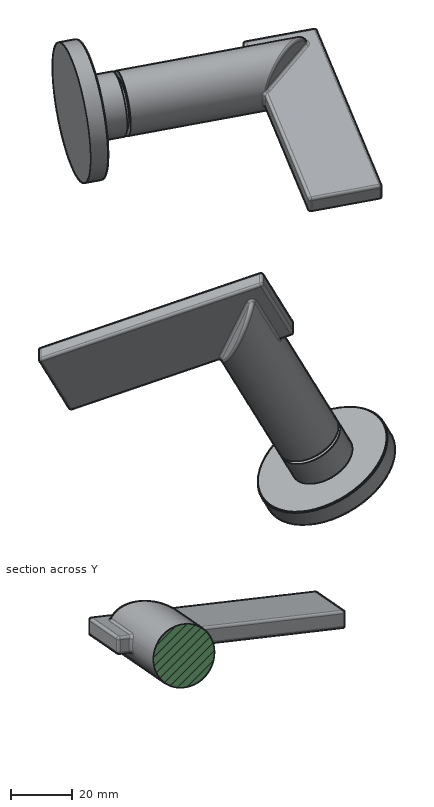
import cadquery as cq

overall_width = 88.5
overall_depth = 87.6

flange_diameter = 47.0
flange_thickness = 6.2
flange_edge_chamfer = 0.35
post_diameter = 21.9
collar_top = 15.9
neck_diameter = 17.35
neck_length = 1.2

blade_length = 80.9
blade_depth = 25.05
blade_thickness = 6.2

edge_radius = 1.0
blend_radius = 1.0

seam_margin = 0.04

post_radius = post_diameter / 2
post_bottom = collar_top + neck_length
blade_right = overall_width - flange_diameter / 2
blade_left = blade_right - blade_length
blade_front = overall_depth - blade_depth
miter_high = blade_front + post_diameter


def disc(diameter, start, end):
    """Cylinder about the Y axis from Y = start to Y = end."""
    return cq.Workplane("XZ", origin=(0, start, 0)).circle(diameter / 2).extrude(start - end)


def make_base():
    """Mounting flange, collar and the narrow neck under the post."""
    flange = disc(flange_diameter, 0, flange_thickness).edges(">Y").chamfer(flange_edge_chamfer)
    collar = disc(post_diameter, flange_thickness, collar_top)
    neck = disc(neck_diameter, collar_top, post_bottom)
    return flange.union(collar).union(neck)


def make_post():
    """Round post mitred at 45 degrees, lowest where it meets the blade front at +X."""
    outline = [
        (-post_radius, post_bottom),
        (post_radius, post_bottom),
        (post_radius, blade_front),
        (-post_radius, miter_high),
    ]
    miter_block = cq.Workplane("XY").polyline(outline).close().extrude(post_radius, both=True)
    post = disc(post_diameter, post_bottom, miter_high).intersect(miter_block)
    return post.faces(">Y").edges().fillet(edge_radius)


def make_blade():
    """Rectangular lever with every edge rounded."""
    return (
        cq.Workplane("XY", origin=(blade_left, blade_front, -blade_thickness / 2))
        .box(blade_length, blade_depth, blade_thickness, centered=False)
        .edges()
        .fillet(edge_radius)
    )


def make_lever():
    """Blade and post joined, with a concave blend along the seam between them."""
    seam_low = (-post_radius - seam_margin, blade_front - seam_margin, -blade_thickness / 2 - seam_margin)
    seam_high = (post_radius + seam_margin, miter_high, blade_thickness / 2 + seam_margin)
    seam = cq.selectors.BoxSelector(seam_low, seam_high, boundingbox=True)
    return make_post().union(make_blade()).edges(seam).fillet(blend_radius)


result = make_base().union(make_lever())